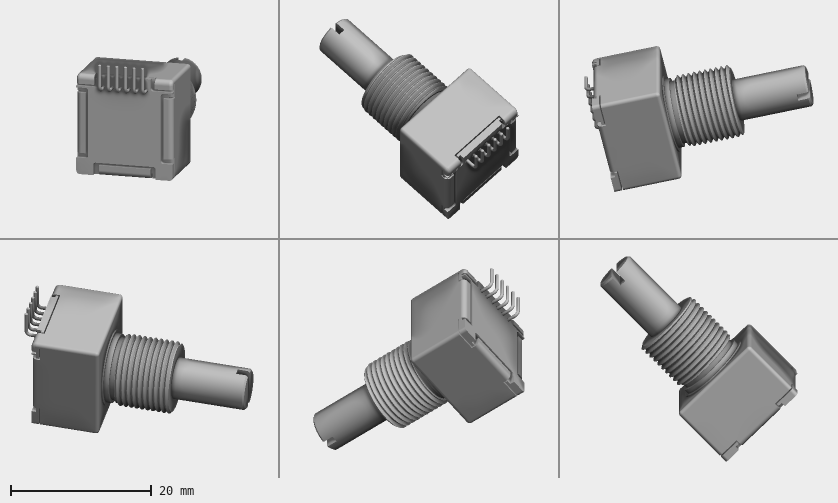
import cadquery as cq
import math


total_length = 32.08
width = 14.25
half_width = width / 2
height = 14.75
depth = 9.85
top_z = 7.95
bottom_z = top_z - height
edge_radius = 0.5
side_bend_radius = 0.7
top_bend_radius = 0.77

flange_radius = 5.5
flange_thickness = 0.2
flange_front = depth + flange_thickness
collar_radius = 5.0
collar_front = 10.78
neck_radius = 4.52
thread_back = 11.5
thread_front = 19.47
thread_start = 10.33
thread_root_radius = 4.75
thread_crest_radius = 5.2
thread_turns = 10
thread_pitch = (thread_front - thread_back) / thread_turns
thread_base_width = 0.67
thread_crest_width = 0.05
thread_end_chamfer = 0.32
thread_end_clearance = 0.03
thread_embed = 0.05
barrel_seam_angle = 77
shaft_radius = 2.98
shaft_tip = 30.05
shaft_chamfer = 0.25
slot_width = 1.0
slot_depth = 1.73

recess_depth = 0.67
tab_sink = 0.05
top_tab_rise = 0.1
side_recess_width = 1.75
side_recess_low, side_recess_high = -4.35, 5.97
side_tab_width = 1.38
side_tab_low, side_tab_high = -3.7, 5.2
bottom_recess_half_length = 4.62
bottom_recess_height = 1.85
bottom_tab_half_length = 3.8
bottom_tab_height = 1.48
top_recess_inner_x = 3.88
top_recess_height = 1.73
top_tab_inner_x = 4.5
top_tab_height = 1.4
recess_corner_radius = 0.4

base_front = 1.05
gap_width = 0.2
gap_depth = 0.7
joint_top_z = 7.25

pin_count = 6
pin_row_length = 6.35
pin_pitch = pin_row_length / (pin_count - 1)
pin_radius = 0.24
pin_z = 6.22
pin_top_z = 10.05
pin_y = shaft_tip - total_length + pin_radius
pin_bend_radius = 0.7
pin_root_y = 0.65
pin_tip_chamfer = 0.1
pin_hole_radius = 0.32
pin_hole_depth = 0.32


def box(x_min, x_max, y_min, y_max, z_min, z_max):
    size = (x_max - x_min, y_max - y_min, z_max - z_min)
    return cq.Workplane("XY").box(*size, centered=False).translate((x_min, y_min, z_min))


def ring(radius, y_min, y_max):
    """Solid disc around the shaft axis from y_min to y_max."""
    return cq.Workplane("XZ", origin=(0, y_min, 0)).circle(radius).extrude(y_min - y_max)


def housing_block():
    block = box(-half_width, half_width, 0, depth, bottom_z, top_z)
    return block.edges("|Y").fillet(edge_radius)


def top_bent_cover():
    """Housing block folded over at the rear top edge, with rounded side outlines."""
    block = box(-half_width, half_width, -top_tab_rise, depth, bottom_z, top_z)
    block = block.edges("<Y and >Z").fillet(top_bend_radius)
    return block.faces("<X or >X").edges().fillet(edge_radius)


def side_bent_cover():
    """Housing block folded over at the rear side and bottom edges."""
    block = box(-half_width, half_width, tab_sink, depth, bottom_z, top_z)
    return block.edges("<Y and (not >Z)").fillet(side_bend_radius)


def mirrored_pair(solid):
    return solid.union(solid.mirror("YZ"))


def recesses():
    side = box(
        -half_width, side_recess_width - half_width, 0, recess_depth,
        side_recess_low, side_recess_high,
    )
    side = side.edges(">X and |Y").fillet(recess_corner_radius)
    top = box(-half_width, -top_recess_inner_x, 0, recess_depth, top_z - top_recess_height, top_z)
    top = top.edges(">X and <Z and |Y").fillet(recess_corner_radius)
    bottom = box(
        -bottom_recess_half_length, bottom_recess_half_length, 0, recess_depth,
        bottom_z, bottom_z + bottom_recess_height,
    )
    bottom = bottom.edges(">Z and |Y").fillet(recess_corner_radius)
    return mirrored_pair(side).union(mirrored_pair(top)).union(bottom)


def sunk_tab_blocks():
    side = box(-half_width, side_tab_width - half_width, 0, base_front, side_tab_low, side_tab_high)
    bottom = box(
        -bottom_tab_half_length, bottom_tab_half_length, 0, base_front,
        bottom_z, bottom_z + bottom_tab_height,
    )
    return mirrored_pair(side).union(bottom)


def top_tab_blocks():
    block = box(
        -half_width, -top_tab_inner_x, -top_tab_rise, base_front,
        top_z - top_tab_height, top_z,
    )
    return mirrored_pair(block)


def joint_gap():
    """Gap in front of the exposed base, turning back to the recess floor beside the upper and bottom tabs."""
    gap_front = base_front + gap_width
    top_floor = top_z - gap_depth
    side_floor = gap_depth - half_width
    bottom_floor = bottom_z + gap_depth

    top = box(-top_tab_inner_x, top_tab_inner_x, recess_depth, gap_front, top_floor, top_z)
    base_half_length = top_tab_inner_x - gap_width
    top = top.cut(box(-base_half_length, base_half_length, recess_depth, base_front, top_floor, top_z))

    upper = box(-half_width, side_floor, recess_depth, gap_front, side_tab_high, joint_top_z)
    base_low = side_tab_high + gap_width
    upper = upper.cut(box(-half_width, side_floor, recess_depth, base_front, base_low, joint_top_z))

    lower = box(-half_width, side_floor, base_front, gap_front, bottom_z, side_tab_low)

    tab_gap = box(
        -bottom_tab_half_length - gap_width, -bottom_tab_half_length, recess_depth, gap_front,
        bottom_z, bottom_floor,
    )
    bottom = box(-half_width, -bottom_tab_half_length, base_front, gap_front, bottom_z, bottom_floor)
    corner = mirrored_pair(upper.union(lower).union(bottom).union(tab_gap))
    return corner.union(top)


def housing():
    body = housing_block().faces(">Y").edges().fillet(edge_radius)
    sunk_blocks = sunk_tab_blocks()
    top_blocks = top_tab_blocks()
    body = body.cut(recesses()).cut(sunk_blocks).cut(top_blocks)
    body = body.union(sunk_blocks.intersect(side_bent_cover())).union(top_blocks.intersect(top_bent_cover()))
    return body.cut(joint_gap())


def thread_ridge():
    """Right-handed ridge, run past both ends and trimmed flush with the threaded length."""
    length = thread_front + thread_pitch - thread_start
    inner_radius = thread_root_radius - thread_embed
    path = cq.Wire.makeHelix(thread_pitch, length, thread_root_radius)
    slope = (thread_base_width - thread_crest_width) / (thread_crest_radius - thread_root_radius)
    half_inner = (thread_base_width + slope * thread_embed) / 2
    half_crest = thread_crest_width / 2
    ridge = (
        cq.Workplane("XZ")
        .moveTo(inner_radius, -half_inner)
        .lineTo(thread_crest_radius, -half_crest)
        .lineTo(thread_crest_radius, half_crest)
        .lineTo(inner_radius, half_inner)
        .close()
        .sweep(cq.Workplane(obj=path), isFrenet=True)
    )
    ridge = ridge.rotate((0, 0, 0), (1, 0, 0), -90).translate((0, thread_start, 0))
    envelope = ring(thread_crest_radius + thread_end_clearance, thread_back, thread_front)
    return ridge.intersect(envelope.edges().chamfer(thread_end_chamfer))


def bushing():
    steps = ring(flange_radius, depth - edge_radius, flange_front)
    steps = steps.union(ring(collar_radius, depth, collar_front))
    steps = steps.union(ring(neck_radius, depth, thread_back))
    barrel = ring(thread_root_radius, thread_back, thread_front)
    barrel = barrel.rotate((0, 0, 0), (0, 1, 0), barrel_seam_angle)
    return steps.union(barrel.union(thread_ridge()))


def shaft():
    rod = ring(shaft_radius, depth, shaft_tip).faces(">Y").chamfer(shaft_chamfer)
    slot = box(
        -slot_width / 2, slot_width / 2, shaft_tip - slot_depth, shaft_tip,
        -shaft_radius, shaft_radius,
    )
    return rod.cut(slot)


def pin(x):
    """Round pin leaving the rear face and bent upward."""
    diagonal = pin_bend_radius * (1 - math.sqrt(0.5))
    path = (
        cq.Workplane("YZ", origin=(x, 0, 0))
        .moveTo(pin_root_y, pin_z)
        .lineTo(pin_y + pin_bend_radius, pin_z)
        .threePointArc((pin_y + diagonal, pin_z + diagonal), (pin_y, pin_z + pin_bend_radius))
        .lineTo(pin_y, pin_top_z)
    )
    rod = cq.Workplane("XZ", origin=(x, pin_root_y, pin_z)).circle(pin_radius).sweep(path)
    return rod.faces(">Z").chamfer(pin_tip_chamfer)


def pin_hole(x):
    """Shallow clearance hole around the root of a pin."""
    return cq.Workplane("XZ", origin=(x, 0, pin_z)).circle(pin_hole_radius).extrude(-pin_hole_depth)


result = housing().union(bushing()).union(shaft())
for index in range(pin_count):
    pin_x = index * pin_pitch - pin_row_length / 2
    result = result.cut(pin_hole(pin_x)).union(pin(pin_x))